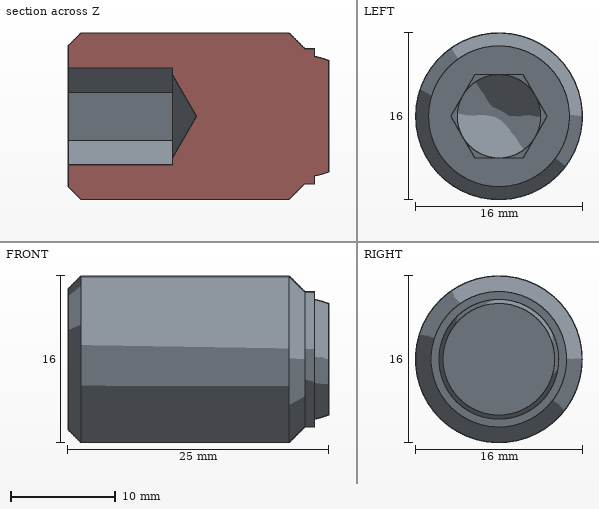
import cadquery as cq
import math

length = 25.0
body_radius = 8.0
socket_end_chamfer = 1.25

collar_radius = 6.5
collar_end = 23.65
collar_width = 0.95
ball_radius = 5.82

hex_across_flats = 8.0
hex_depth = 10.0
drill_point_angle = 120.0

collar_start = collar_end - collar_width
tip_end_chamfer = body_radius - collar_radius


def ball_radius_at(x):
    """Radius of the ball's round section at x; the ball is centred at the collar start."""
    return math.sqrt(ball_radius**2 - (x - collar_start) ** 2)


def make_body():
    """Revolve the half outline (axial position, radius) about the X axis."""
    ball_middle = (collar_end + length) / 2
    return (
        cq.Workplane("XY")
        .moveTo(0, 0)
        .lineTo(0, body_radius - socket_end_chamfer)
        .lineTo(socket_end_chamfer, body_radius)
        .lineTo(collar_start - tip_end_chamfer, body_radius)
        .lineTo(collar_start, collar_radius)
        .lineTo(collar_end, collar_radius)
        .lineTo(collar_end, ball_radius_at(collar_end))
        .threePointArc((ball_middle, ball_radius_at(ball_middle)), (length, ball_radius_at(length)))
        .lineTo(length, 0)
        .close()
        .revolve(360, (0, 0, 0), (1, 0, 0))
    )


def make_socket():
    """Hexagonal prism with flats facing +Z and -Z, ending in a cone."""
    across_corners = hex_across_flats / math.cos(math.pi / 6)
    prism = cq.Workplane("YZ").polygon(6, across_corners).extrude(hex_depth)

    cone_radius = hex_across_flats / 2
    cone_depth = cone_radius / math.tan(math.radians(drill_point_angle / 2))
    cone = cq.Solid.makeCone(
        cone_radius, 0, cone_depth, pnt=cq.Vector(hex_depth, 0, 0), dir=cq.Vector(1, 0, 0)
    )
    return prism.union(cq.Workplane(cone))


result = make_body().cut(make_socket())